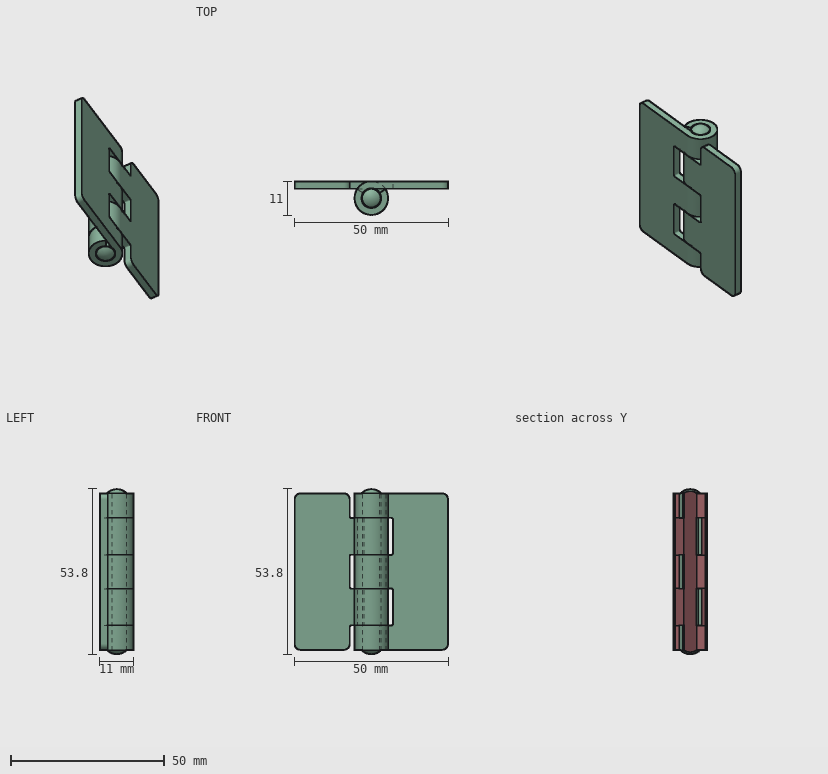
import cadquery as cq
import math

hinge_width = 50.0
hinge_height = 53.8
leaf_height = 51.0
sheet_thickness = 2.5
knuckle_radius = 5.5
middle_knuckle_height = 11.0
inner_knuckle_height = 12.0
notch_reach = 7.0
corner_radius = 2.0
notch_radius = 0.5
head_radius = 3.25
curl_gap_angle = 0.8

leaf_reach = hinge_width / 2
eye_radius = knuckle_radius - sheet_thickness
half_leaf = leaf_height / 2
half_middle = middle_knuckle_height / 2
end_knuckle_start = half_middle + inner_knuckle_height
head_height = (hinge_height - leaf_height) / 2
curl_end_angle = math.degrees(math.asin(eye_radius / knuckle_radius)) - curl_gap_angle

outer_spans = [
    (-half_leaf, -end_knuckle_start),
    (-half_middle, half_middle),
    (end_knuckle_start, half_leaf),
]
inner_spans = [
    (-end_knuckle_start, -half_middle),
    (half_middle, end_knuckle_start),
]


def polar(radius, degrees):
    angle = math.radians(degrees)
    return radius * math.cos(angle), radius * math.sin(angle)


def knuckle(span):
    """Sheet rolled round the pin, with a flat tail running to the notch edge in +X."""
    bottom, top = span
    middle_angle = (90 + 360 + curl_end_angle) / 2
    return (
        cq.Workplane("XY", origin=(0, 0, bottom))
        .moveTo(notch_reach, knuckle_radius)
        .lineTo(0, knuckle_radius)
        .threePointArc(polar(knuckle_radius, middle_angle), polar(knuckle_radius, curl_end_angle))
        .lineTo(*polar(eye_radius, curl_end_angle))
        .threePointArc(polar(eye_radius, middle_angle), (0, eye_radius))
        .lineTo(notch_reach, eye_radius)
        .close()
        .extrude(top - bottom)
    )


def sheet_block(x_start, x_end, bottom, top):
    """Block of sheet thickness in the plane of the leaves."""
    return cq.Workplane("XY").box(
        x_end - x_start, sheet_thickness, top - bottom, centered=False
    ).translate((x_start, eye_radius, bottom))


def leaf(spans):
    """Flat leaf on the +X side, carrying one knuckle at each span."""
    body = sheet_block(notch_reach, leaf_reach, -half_leaf, half_leaf)
    for span in spans:
        body = body.union(knuckle(span))

    body = body.edges("|Y and >X").fillet(corner_radius)

    roots = []
    free_corners = []
    for z in (-half_leaf, half_leaf):
        if not any(z in span for span in spans):
            free_corners.append(z)
    for span in spans:
        roots += [z for z in span if abs(z) < half_leaf]
    body = round_notch_edges(body, roots, notch_radius)
    return round_notch_edges(body, free_corners, corner_radius)


def round_notch_edges(body, heights, radius):
    """Fillet the edges across the sheet at the notch edge and the given heights."""
    for z in heights:
        edge = cq.selectors.NearestToPointSelector((notch_reach, eye_radius + sheet_thickness / 2, z))
        body = body.edges("|Y").edges(edge).fillet(radius)
    return body


def pin():
    """Shank filling the eyes, with a domed head at each end."""
    outline = (
        cq.Workplane("XZ")
        .moveTo(0, -hinge_height / 2)
        .threePointArc(dome_point(-1), (head_radius, -half_leaf))
        .lineTo(eye_radius, -half_leaf)
        .lineTo(eye_radius, half_leaf)
        .lineTo(head_radius, half_leaf)
        .threePointArc(dome_point(1), (0, hinge_height / 2))
        .close()
    )
    return outline.revolve(360, (0, 0, 0), (0, 1, 0))


def dome_point(side):
    """Point halfway along a head's spherical profile; side is 1 at the top, -1 at the bottom."""
    dome_radius = (head_radius**2 + head_height**2) / (2 * head_height)
    half_angle = math.asin(head_radius / dome_radius) / 2
    drop = dome_radius * (1 - math.cos(half_angle))
    return dome_radius * math.sin(half_angle), side * (hinge_height / 2 - drop)


right_leaf = leaf(outer_spans)
left_leaf = leaf(inner_spans).mirror("YZ")
hinge_pin = pin()

result = cq.Compound.makeCompound([right_leaf.val(), left_leaf.val(), hinge_pin.val()])